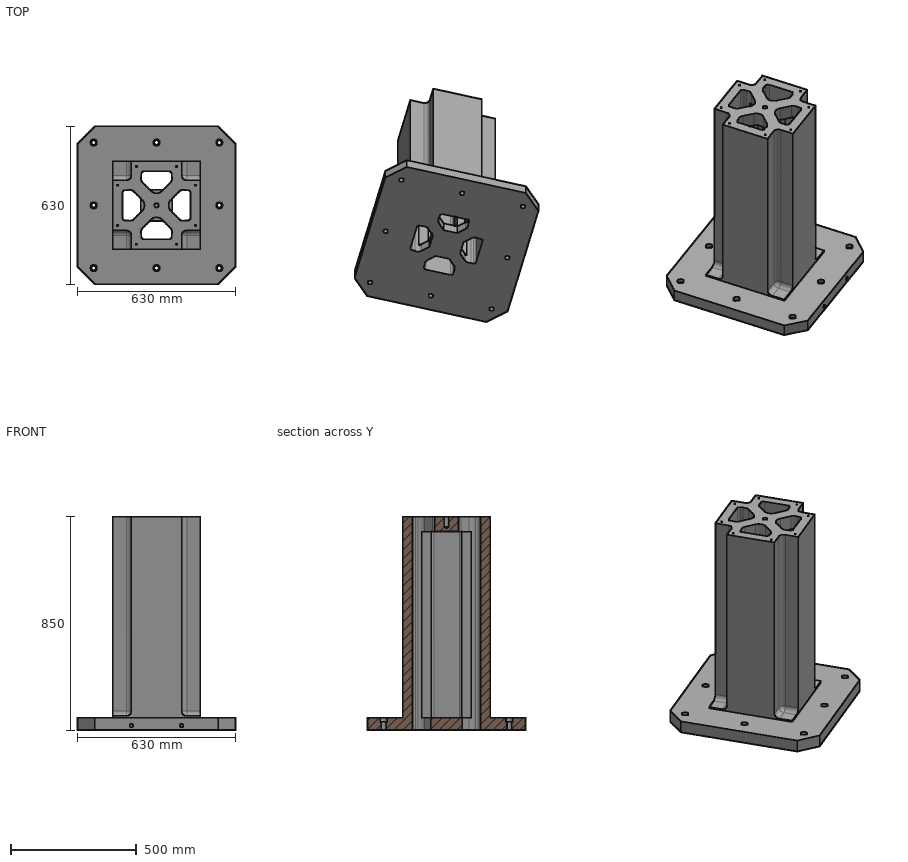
import cadquery as cq
import math

plate_side = 630.0
plate_thickness = 50.0
plate_corner_cut = 70.0

total_height = 850.0
column_side = 350.0
arm_width = 200.0
notch_floor_z = plate_thickness + 6.0
notch_radius = 20.0

wall = 40.0
head_thickness = 60.0
rib_width = 50.0
pocket_reach = column_side / 2 - wall
pocket_width = arm_width - 2 * wall
outer_corner_radius = 10.0
rib_end_radius = 25.0
rib_end_x = 107.0
rib_crossing_radius = 30.0
floor_web_side = 126.0

mount_spacing = 250.0
mount_diameter = 18.0
mount_bore_diameter = 26.0
mount_bore_depth = 17.0

drill_point_angle = 118.0
center_hole_diameter = 17.5
center_hole_depth = 40.0
side_hole_diameter = 14.0
side_hole_depth = 30.0
side_hole_spacing = 200.0
side_hole_z = 18.0
top_hole_diameter = 5.0
top_hole_depth = 15.0
top_hole_edge_offset = 20.0

quarter_turns = [0, 90, 180, 270]


def turned(shape, angle):
    """Rotate a shape about the column axis."""
    return shape.rotate((0, 0, 0), (0, 0, 1), angle)


def box(x_size, y_size, z_bottom, z_top):
    """Box centred on the column axis between two heights."""
    height = z_top - z_bottom
    return cq.Workplane("XY").workplane(offset=z_bottom).rect(x_size, y_size).extrude(height)


def base_plate():
    plate = box(plate_side, plate_side, 0, plate_thickness)
    return plate.edges("|Z").chamfer(plate_corner_cut)


def corner_notch():
    """Cutter for one column corner, rounded where it meets the arms and the floor."""
    size = column_side / 2
    height = total_height - notch_floor_z + size
    corner = arm_width / 2
    cutter = cq.Workplane("XY").box(size, size, height, centered=False)
    cutter = cutter.edges("(<X and <Y) or (<X and <Z) or (<Y and <Z)").fillet(notch_radius)
    return cutter.translate((corner, corner, notch_floor_z))


def column():
    body = box(column_side, column_side, plate_thickness, total_height)
    notch = corner_notch()
    for angle in quarter_turns:
        body = body.cut(turned(notch, angle))
    return body


def rib_clearance():
    """Cross-shaped cutter that removes the ribs between the plate and the head."""
    head_bottom = total_height - head_thickness
    arm = box(2 * rib_end_x, pocket_width, plate_thickness, head_bottom)
    return arm.union(turned(arm, 90))


def pocket():
    """Opening down the whole part on the +X side, between two diagonal ribs.

    In the plate it stops short of the axis, leaving a square web.
    Each rib ends in an arc that is tangent to it and bulges slightly into the side wall.
    """
    half = pocket_width / 2
    tip = rib_width / math.sqrt(2)
    arc_y = rib_end_x - tip - rib_end_radius * math.sqrt(2)
    wall_half_chord = math.sqrt(rib_end_radius**2 - (half - arc_y) ** 2)
    wall_end_angle = math.degrees(math.acos(wall_half_chord / rib_end_radius))

    def on_arc(angle, side):
        turn = math.radians(angle)
        x = rib_end_x + rib_end_radius * math.cos(turn)
        y = arc_y + rib_end_radius * math.sin(turn)
        return (x, side * y)

    rib_angle = 135
    middle_angle = (rib_angle + wall_end_angle) / 2
    opening = (
        cq.Workplane("XY")
        .moveTo(tip, 0)
        .lineTo(*on_arc(rib_angle, 1))
        .threePointArc(on_arc(middle_angle, 1), on_arc(wall_end_angle, 1))
        .lineTo(pocket_reach, half)
        .lineTo(pocket_reach, -half)
        .lineTo(*on_arc(wall_end_angle, -1))
        .threePointArc(on_arc(middle_angle, -1), on_arc(rib_angle, -1))
        .close()
        .extrude(total_height)
    )
    opening = opening.edges("|Z and >X").fillet(outer_corner_radius)
    opening = opening.edges("|Z and <X").fillet(rib_crossing_radius)
    return opening.cut(box(floor_web_side, floor_web_side, 0, plate_thickness))


def mounting_hole(x, y):
    hole = cq.Workplane("XY").circle(mount_diameter / 2).extrude(plate_thickness)
    bore = (
        cq.Workplane("XY")
        .workplane(offset=plate_thickness - mount_bore_depth)
        .circle(mount_bore_diameter / 2)
        .extrude(mount_bore_depth)
    )
    return hole.union(bore).translate((x, y, 0))


def drilled_hole(diameter, depth):
    """Blind hole with a drill point, going down from the origin."""
    radius = diameter / 2
    point = radius / math.tan(math.radians(drill_point_angle / 2))
    profile = [(0, 0), (radius, 0), (radius, -depth), (0, -depth - point)]
    return cq.Workplane("XZ").polyline(profile).close().revolve(360, (0, 0), (0, 1))


result = base_plate().union(column()).cut(rib_clearance())

for angle in quarter_turns:
    result = result.cut(turned(pocket(), angle))

for x in (-mount_spacing, 0, mount_spacing):
    for y in (-mount_spacing, 0, mount_spacing):
        if (x, y) != (0, 0):
            result = result.cut(mounting_hole(x, y))

center_hole = drilled_hole(center_hole_diameter, center_hole_depth)
result = result.cut(center_hole.translate((0, 0, total_height)))

top_hole = drilled_hole(top_hole_diameter, top_hole_depth)
top_hole_reach = column_side / 2 - top_hole_edge_offset
top_hole_side = arm_width / 2 - top_hole_edge_offset
for angle in quarter_turns:
    for side in (-top_hole_side, top_hole_side):
        placed = top_hole.translate((top_hole_reach, side, total_height))
        result = result.cut(turned(placed, angle))

side_hole = drilled_hole(side_hole_diameter, side_hole_depth).rotate((0, 0, 0), (1, 0, 0), 90)
for x in (-side_hole_spacing / 2, side_hole_spacing / 2):
    result = result.cut(side_hole.translate((x, -plate_side / 2, side_hole_z)))